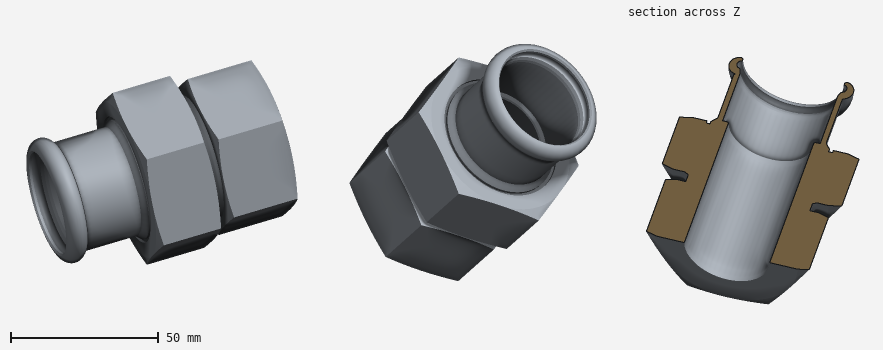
import cadquery as cq
import math

length = 81.0

nut_flats = 55.0
end_hex_flats = 49.9
nut_start = 29.1
nut_end = 52.2
end_hex_start = 55.8
hex_chamfer_angle = 15.0

nut_mouth_diameter = 44.5
nut_mouth_depth = 1.0

tube_diameter = 38.4
shoulder_diameter = 42.0
shoulder_start = 26.9

collar_diameter = 44.0
flare_diameter = 46.5
flare_length = 0.8

bead_diameter = 44.0
bead_width = 7.5

mouth_diameter = 36.9
lip_diameter = 35.8
lip_length = 0.65
groove_diameter = 38.55
groove_start = 1.5
groove_end = 4.6
step_diameter = 34.75
step_start = 5.75
socket_diameter = 34.3
socket_start = 6.8
socket_depth = 27.5

bore_diameter = 30.0
bore_chamfer_diameter = 30.9
bore_chamfer = (bore_chamfer_diameter - bore_diameter) / 2


def revolve_about_y(profile):
    """Revolve a closed XY profile, given as (radius, Y), around the Y axis."""
    return profile.close().revolve(360, (0, 0, 0), (0, 1, 0))


def cylinder(diameter, start, end):
    return revolve_about_y(cq.Workplane("XY").moveTo(0, start).lineTo(diameter / 2, start)
                           .lineTo(diameter / 2, end).lineTo(0, end))


def chamfered_hexagon(flats, start, end):
    """Hexagonal prism whose corners are turned down to the inscribed circle at both ends."""
    corner_radius = flats / math.sqrt(3)
    flat_radius = flats / 2
    drop = (corner_radius - flat_radius) * math.tan(math.radians(hex_chamfer_angle))
    prism = (cq.Workplane("XZ", origin=(0, start, 0))
             .polygon(6, 2 * corner_radius).extrude(start - end))
    turned_blank = revolve_about_y(
        cq.Workplane("XY").moveTo(0, start)
        .lineTo(flat_radius, start)
        .lineTo(corner_radius, start + drop)
        .lineTo(corner_radius, end - drop)
        .lineTo(flat_radius, end)
        .lineTo(0, end))
    return prism.intersect(turned_blank)


def press_tube():
    """Solid tube outline with a half-round bead and a shoulder running into the nut."""
    bead_round = bead_width / 2
    bead_base = bead_diameter / 2 - bead_round
    return revolve_about_y(
        cq.Workplane("XY").lineTo(bead_base, 0)
        .threePointArc((bead_diameter / 2, bead_round), (bead_base, bead_width))
        .lineTo(tube_diameter / 2, bead_width)
        .lineTo(tube_diameter / 2, shoulder_start)
        .lineTo(shoulder_diameter / 2, nut_start)
        .lineTo(shoulder_diameter / 2, nut_end)
        .lineTo(0, nut_end))


def flared_collar():
    return revolve_about_y(
        cq.Workplane("XY").moveTo(0, nut_end)
        .lineTo(flare_diameter / 2, nut_end)
        .lineTo(collar_diameter / 2, nut_end + flare_length)
        .lineTo(collar_diameter / 2, end_hex_start)
        .lineTo(0, end_hex_start))


def inner_passage():
    """Socket, sealing groove and through bore as one turned cutter."""
    groove_middle = (groove_start + groove_end) / 2
    return revolve_about_y(
        cq.Workplane("XY").lineTo(mouth_diameter / 2, 0)
        .lineTo(lip_diameter / 2, lip_length)
        .lineTo(lip_diameter / 2, groove_start)
        .threePointArc((groove_diameter / 2, groove_middle), (lip_diameter / 2, groove_end))
        .lineTo(step_diameter / 2, step_start)
        .lineTo(socket_diameter / 2, socket_start)
        .lineTo(socket_diameter / 2, socket_depth)
        .lineTo(bore_chamfer_diameter / 2, socket_depth)
        .lineTo(bore_diameter / 2, socket_depth + bore_chamfer)
        .lineTo(bore_diameter / 2, length)
        .lineTo(0, length))


union_nut = chamfered_hexagon(nut_flats, nut_start, nut_end).cut(
    cylinder(nut_mouth_diameter, nut_start, nut_start + nut_mouth_depth))
end_hexagon = chamfered_hexagon(end_hex_flats, end_hex_start, length)

result = (
    union_nut
    .union(press_tube())
    .union(flared_collar())
    .union(end_hexagon)
    .cut(inner_passage())
)